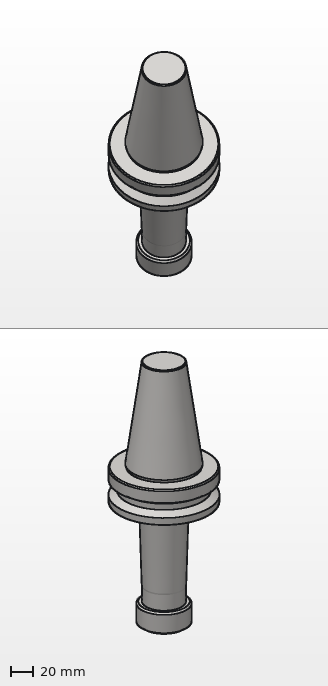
import cadquery as cq

total_length = 261.8
gauge_height = 160.0
flange_top = 157.0
flange_bottom = 122.0
groove_upper_edge = 144.3
groove_upper_floor = 139.8
groove_lower_floor = 133.8
groove_lower_edge = 129.3
shank_taper_top = 120.2
shank_taper_bottom = 40.0
collar_top = 38.5
nut_top = 23.0

gauge_diameter = 70.0
gauge_radius = gauge_diameter / 2
taper_slope = 7 / 24 / 2
taper_chamfer = 1.0
taper_end_radius = gauge_radius - taper_slope * (total_length - taper_chamfer - gauge_height)
relief_depth = 0.8
relief_radius = gauge_radius - relief_depth

flange_radius = 50.0
flange_top_chamfer = 1.3
flange_bottom_chamfer = 0.5
groove_radius = 42.5

shank_top_radius = 22.5
shank_bottom_radius = 20.2
shank_top_chamfer = 0.5
collar_radius = 20.0
nut_diameter = 50.0
nut_radius = nut_diameter / 2
nut_top_chamfer = 1.8
nut_nose_radius = 20.5
nut_nose_height = 3.1

nut_profile = [
    (nut_nose_radius, 0),
    (nut_radius, nut_nose_height),
    (nut_radius, nut_top - nut_top_chamfer),
    (nut_radius - nut_top_chamfer, nut_top),
]

shank_profile = [
    (collar_radius, nut_top),
    (collar_radius, collar_top),
    (shank_bottom_radius, shank_taper_bottom),
    (shank_top_radius, shank_taper_top),
    (shank_top_radius - shank_top_chamfer, flange_bottom),
]

flange_profile = [
    (flange_radius - flange_bottom_chamfer, flange_bottom),
    (flange_radius, flange_bottom + flange_bottom_chamfer),
    (flange_radius, groove_lower_edge),
    (groove_radius, groove_lower_floor),
    (groove_radius, groove_upper_floor),
    (flange_radius, groove_upper_edge),
    (flange_radius, flange_top - flange_top_chamfer),
    (flange_radius - flange_top_chamfer, flange_top),
]

taper_profile = [
    (relief_radius, flange_top),
    (gauge_radius, gauge_height),
    (taper_end_radius, total_length - taper_chamfer),
    (taper_end_radius - taper_chamfer, total_length),
]

half_section = nut_profile + shank_profile + flange_profile + taper_profile
result = (
    cq.Workplane("XZ")
    .polyline([(0, 0)] + half_section + [(0, total_length)])
    .close()
    .revolve(360, (0, 0, 0), (0, 1, 0))
)